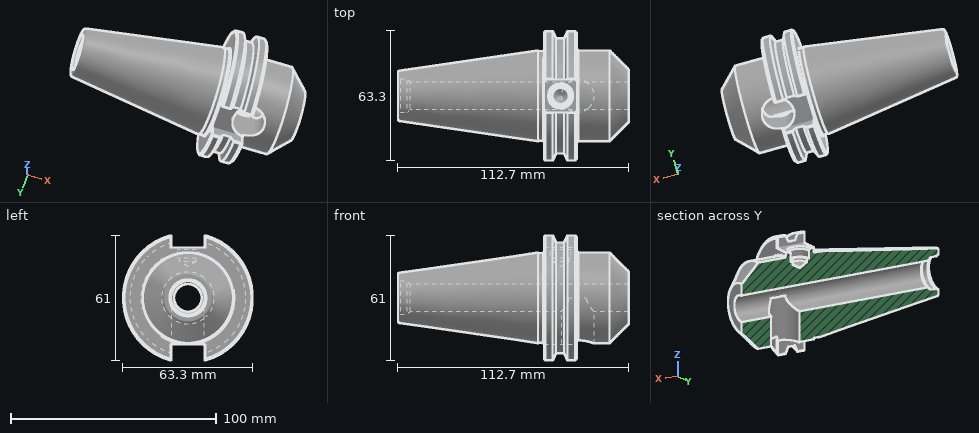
import cadquery as cq
import math

TOTAL_LENGTH = 112.7

TAPER_LENGTH = 68.4
TAPER_RATIO = 7 / 24
GAUGE_DIAMETER = 44.4
SMALL_DIAMETER = GAUGE_DIAMETER - TAPER_LENGTH * TAPER_RATIO
TAPER_END_ROUND = 1.1
COLLAR_DIAMETER = 44.0
COLLAR_ROUND = 0.7

FLANGE_START = 71.3
FLANGE_WIDTH = 16.0
FLANGE_END = FLANGE_START + FLANGE_WIDTH
FLANGE_DIAMETER = 63.3
FRONT_CHAMFER = 0.7
BACK_CHAMFER = 1.0
GROOVE_DIAMETER = 56.4
GROOVE_CENTER_X = 79.1
GROOVE_TOP_WIDTH = 7.2
GROOVE_FLOOR_WIDTH = 3.8

NOSE_DIAMETER = GAUGE_DIAMETER
NOSE_CONE_LENGTH = 9.5
NOSE_ROUND = 0.7

SLOT_WIDTH = 16.0
TOP_SLOT_HEIGHT = 24.6
BOTTOM_SLOT_HEIGHT = 22.7
SLOT_CHAMFER = 0.6
SLOT_FLOOR_ROUND = 0.5

CHIP_HOLE_X = FLANGE_START + FLANGE_WIDTH / 2
CHIP_HOLE_DIAMETER = 10.1
CHIP_HOLE_DEPTH = 5.1
CHIP_HOLE_MOUTH = 12.2
PILOT_DIAMETER = 8.0
PILOT_DEPTH = 1.7
DRILL_POINT_ANGLE = 118.0

BORE_DIAMETER = 13.4
ENTRY_DIAMETER = 16.5
ENTRY_MOUTH = 18.0
ENTRY_MOUTH_DEPTH = 1.4
ENTRY_DEPTH = 4.5

LOCK_DIAMETER = 15.9
LOCK_X = 87.7


def revolve_about_x(outline):
    return outline.revolve(360, (0, 0, 0), (1, 0, 0))


def turned_blank():
    """Taper, collar, grooved flange and nose as one turned shape."""
    flange_r = FLANGE_DIAMETER / 2
    groove_r = GROOVE_DIAMETER / 2
    collar_r = COLLAR_DIAMETER / 2
    nose_r = NOSE_DIAMETER / 2
    outline = (
        cq.Workplane("XY")
        .moveTo(0, 0)
        .lineTo(0, SMALL_DIAMETER / 2)
        .lineTo(TAPER_LENGTH, GAUGE_DIAMETER / 2)
        .lineTo(TAPER_LENGTH, collar_r)
        .lineTo(FLANGE_START - COLLAR_ROUND, collar_r)
        .radiusArc((FLANGE_START, collar_r + COLLAR_ROUND), -COLLAR_ROUND)
        .lineTo(FLANGE_START, flange_r - FRONT_CHAMFER)
        .lineTo(FLANGE_START + FRONT_CHAMFER, flange_r)
        .lineTo(GROOVE_CENTER_X - GROOVE_TOP_WIDTH / 2, flange_r)
        .lineTo(GROOVE_CENTER_X - GROOVE_FLOOR_WIDTH / 2, groove_r)
        .lineTo(GROOVE_CENTER_X + GROOVE_FLOOR_WIDTH / 2, groove_r)
        .lineTo(GROOVE_CENTER_X + GROOVE_TOP_WIDTH / 2, flange_r)
        .lineTo(FLANGE_END - BACK_CHAMFER, flange_r)
        .lineTo(FLANGE_END, flange_r - BACK_CHAMFER)
        .lineTo(FLANGE_END, nose_r + NOSE_ROUND)
        .radiusArc((FLANGE_END + NOSE_ROUND, nose_r), -NOSE_ROUND)
        .lineTo(TOTAL_LENGTH - NOSE_CONE_LENGTH, nose_r)
        .lineTo(TOTAL_LENGTH, nose_r - NOSE_CONE_LENGTH)
        .lineTo(TOTAL_LENGTH, 0)
        .close()
    )
    return revolve_about_x(outline).faces("<X").edges().fillet(TAPER_END_ROUND)


def slot_cutter(floor_height):
    """Drive slot on the +Z side, with bevelled wall edges and rounded floor corners."""
    half_width = SLOT_WIDTH / 2
    depth = FLANGE_DIAMETER / 2 - floor_height
    channel = (
        cq.Workplane("XY")
        .box(FLANGE_WIDTH, SLOT_WIDTH, depth, centered=(False, True, False))
        .edges("|X and <Z")
        .fillet(SLOT_FLOOR_ROUND)
        .translate((FLANGE_START, 0, floor_height))
    )

    for face_x, inward in ((FLANGE_START, 1), (FLANGE_END, -1)):
        wedge = (
            cq.Workplane("XY", origin=(0, 0, floor_height))
            .polyline([
                (face_x, -half_width - SLOT_CHAMFER),
                (face_x, half_width + SLOT_CHAMFER),
                (face_x + inward * SLOT_CHAMFER, half_width),
                (face_x + inward * SLOT_CHAMFER, -half_width),
            ])
            .close()
            .extrude(depth)
        )
        channel = channel.union(wedge)

    rim_height = math.sqrt((FLANGE_DIAMETER / 2) ** 2 - half_width**2)
    flare = (
        cq.Workplane("YZ", origin=(FLANGE_START, 0, 0))
        .polyline([
            (-half_width, rim_height - SLOT_CHAMFER),
            (half_width, rim_height - SLOT_CHAMFER),
            (half_width + 2 * SLOT_CHAMFER, rim_height + SLOT_CHAMFER),
            (-half_width - 2 * SLOT_CHAMFER, rim_height + SLOT_CHAMFER),
        ])
        .close()
        .extrude(FLANGE_WIDTH)
    )
    return channel.union(flare)


def bore_cutter():
    bore_r = BORE_DIAMETER / 2
    entry_r = ENTRY_DIAMETER / 2
    outline = (
        cq.Workplane("XY")
        .polyline([
            (0, 0),
            (0, ENTRY_MOUTH / 2),
            (ENTRY_MOUTH_DEPTH, entry_r),
            (ENTRY_DEPTH, entry_r),
            (ENTRY_DEPTH + entry_r - bore_r, bore_r),
            (TOTAL_LENGTH, bore_r),
            (TOTAL_LENGTH, 0),
        ])
        .close()
    )
    return revolve_about_x(outline)


def chip_hole_cutter():
    """Chamfered hole, pilot step and drill point, going down from the top slot floor."""
    hole_r = CHIP_HOLE_DIAMETER / 2
    mouth_r = CHIP_HOLE_MOUTH / 2
    pilot_r = PILOT_DIAMETER / 2
    pilot_bottom = -CHIP_HOLE_DEPTH - PILOT_DEPTH
    point_length = pilot_r / math.tan(math.radians(DRILL_POINT_ANGLE / 2))
    return (
        cq.Workplane("XZ")
        .polyline([
            (0, 0),
            (mouth_r, 0),
            (hole_r, hole_r - mouth_r),
            (hole_r, -CHIP_HOLE_DEPTH),
            (pilot_r, -CHIP_HOLE_DEPTH),
            (pilot_r, pilot_bottom),
            (0, pilot_bottom - point_length),
        ])
        .close()
        .revolve(360, (0, 0, 0), (0, 1, 0))
        .translate((CHIP_HOLE_X, 0, TOP_SLOT_HEIGHT))
    )


def lock_hole_cutter():
    return (
        cq.Workplane("XY", origin=(LOCK_X, 0, 0))
        .circle(LOCK_DIAMETER / 2)
        .extrude(-FLANGE_DIAMETER / 2)
    )


def make_holder():
    top_slot = slot_cutter(TOP_SLOT_HEIGHT)
    bottom_slot = slot_cutter(BOTTOM_SLOT_HEIGHT).rotate((0, 0, 0), (1, 0, 0), 180)
    return (
        turned_blank()
        .cut(top_slot)
        .cut(bottom_slot)
        .cut(bore_cutter())
        .cut(chip_hole_cutter())
        .cut(lock_hole_cutter())
    )


holder = make_holder()
result = cq.Compound.makeCompound([holder.val()])